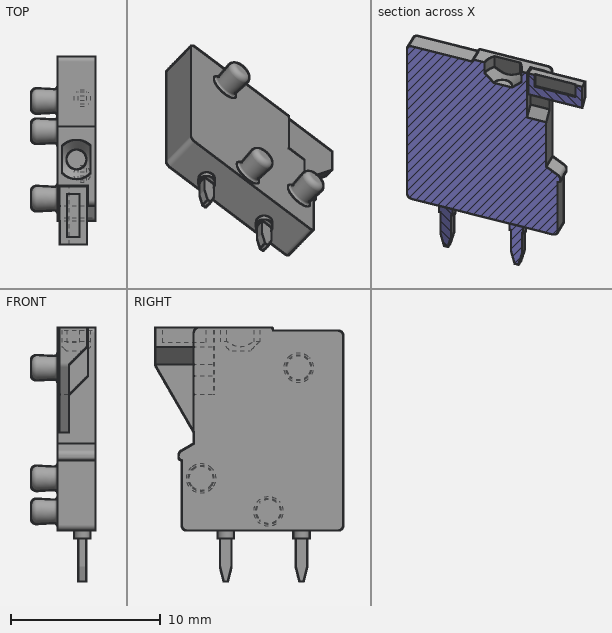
import cadquery as cq
import math


housing_width = 2.57
housing_depth = 10.83
housing_height = 13.6
corner_radius = 0.37
step_drop = 0.2
step_y = 6.12
step_radius = 0.15
upper_front_y = 0.82

lip_reach = 0.2
lip_bottom_z = 4.71
lip_root_z = 5.83
lip_slope = 30.0
lip_radius = 0.4

entry_x = housing_width / 2
entry_y = 3.93
entry_diameter = 2.64
entry_flat_width = 1.9
entry_straight_depth = 0.94
entry_floor_diameter = 1.33
entry_cone_depth = (entry_diameter - entry_floor_diameter) / 2

slot_width = 2.04
slot_back_y = 2.2
slot_floor_z = 9.1

lever_side_x = 0.15
lever_width = 1.84
lever_gap = 0.07
lever_back_y = slot_back_y - lever_gap
lever_front_y = -1.77
blade_width = 0.65
lever_bottom_z = 6.58
lever_nose_angle = 30.0
lever_nose_radius = 0.51
lever_bevel_top_z = 12.29
lever_right_x = lever_side_x + lever_width
blade_right_x = lever_side_x + blade_width

pocket_width = 0.82
pocket_length = 2.89
pocket_x = 1.07
pocket_y = 0.19
pocket_depth = 1.02

peg_positions = [(7.84, 10.9), (1.31, 3.5), (5.81, 1.3)]
peg_length = 1.77
peg_tip_radius = 0.4
peg_max_radius = 0.87
peg_neck_radius = 0.8
peg_flare = 0.19

pin_positions = [8.02, 2.95]
pin_x = 1.67
pin_length = 3.4
pin_collar_diameter = 1.12
pin_collar_height = 0.53
pin_blade_width = 0.8
pin_blade_thickness = 0.55
pin_tip_width = 0.29
pin_taper_length = 1.0


def make_housing_block():
    """Side outline of the housing, with its rounded corners and lip, extruded across the width."""
    rear_height = housing_height - step_drop
    slope = math.radians(lip_slope)
    lip_corner_z = lip_root_z - (upper_front_y + lip_reach) * math.tan(slope)
    lip_tangent = lip_radius * math.tan((math.pi / 2 - slope) / 2)
    return (
        cq.Workplane("YZ")
        .moveTo(corner_radius, 0)
        .lineTo(housing_depth - corner_radius, 0)
        .tangentArcPoint((housing_depth, corner_radius), relative=False)
        .lineTo(housing_depth, rear_height - corner_radius)
        .tangentArcPoint((housing_depth - corner_radius, rear_height), relative=False)
        .lineTo(step_y, rear_height)
        .lineTo(step_y, housing_height - step_radius)
        .tangentArcPoint((step_y - step_radius, housing_height), relative=False)
        .lineTo(upper_front_y + corner_radius, housing_height)
        .tangentArcPoint((upper_front_y, housing_height - corner_radius), relative=False)
        .lineTo(upper_front_y, lip_root_z)
        .lineTo(-lip_reach + lip_tangent * math.cos(slope), lip_corner_z + lip_tangent * math.sin(slope))
        .tangentArcPoint((-lip_reach, lip_corner_z - lip_tangent), relative=False)
        .lineTo(-lip_reach, lip_bottom_z + lip_reach)
        .tangentArcPoint((0, lip_bottom_z), relative=False)
        .lineTo(0, corner_radius)
        .tangentArcPoint((corner_radius, 0), relative=False)
        .close()
        .extrude(housing_width)
    )


def make_wire_entry():
    """Cutter for the wire entry: a bore with a conical bottom, flattened on both X sides."""
    cone_top_z = housing_height - entry_straight_depth
    floor_z = cone_top_z - entry_cone_depth
    funnel = (
        cq.Workplane("XZ")
        .moveTo(0, floor_z)
        .lineTo(entry_floor_diameter / 2, floor_z)
        .lineTo(entry_diameter / 2, cone_top_z)
        .lineTo(entry_diameter / 2, housing_height)
        .lineTo(0, housing_height)
        .close()
        .revolve(360, (0, 0, 0), (0, 1, 0))
    )
    flats = cq.Workplane("XY").box(entry_flat_width, entry_diameter, 2 * housing_height)
    return funnel.intersect(flats).translate((entry_x, entry_y, 0))


def make_lever_slot():
    """Cutter for the lever slot: open at the top, front and peg side, with a 45 degree floor."""
    return (
        cq.Workplane("XZ", origin=(0, slot_back_y, 0))
        .moveTo(0, housing_height)
        .lineTo(0, slot_floor_z)
        .lineTo(blade_right_x, slot_floor_z)
        .lineTo(slot_width, slot_floor_z + slot_width - blade_right_x)
        .lineTo(slot_width, housing_height)
        .close()
        .extrude(slot_back_y - upper_front_y)
    )


def make_housing():
    return make_housing_block().cut(make_wire_entry()).cut(make_lever_slot())


def make_lever():
    """Lever with a slanted front, narrowed by a 45 degree bevel to a thin blade, pocketed on top."""
    nose_rise = (upper_front_y - lever_front_y) / math.tan(math.radians(lever_nose_angle))
    side_shape = (
        cq.Workplane("YZ", origin=(lever_side_x, 0, 0))
        .moveTo(lever_back_y, housing_height)
        .lineTo(lever_back_y, slot_floor_z)
        .lineTo(upper_front_y, slot_floor_z)
        .lineTo(upper_front_y, lever_bottom_z)
        .lineTo(lever_front_y, lever_bottom_z + nose_rise)
        .lineTo(lever_front_y, housing_height)
        .close()
        .extrude(lever_width)
    )
    nose_edge = cq.selectors.NearestToPointSelector(
        (lever_side_x + lever_width / 2, lever_front_y, lever_bottom_z + nose_rise)
    )
    side_shape = side_shape.edges(nose_edge).fillet(lever_nose_radius)
    front_shape = (
        cq.Workplane("XZ", origin=(0, lever_back_y, 0))
        .moveTo(lever_side_x, housing_height)
        .lineTo(lever_side_x, lever_bottom_z)
        .lineTo(blade_right_x, lever_bottom_z)
        .lineTo(blade_right_x, lever_bevel_top_z - (lever_right_x - blade_right_x))
        .lineTo(lever_right_x, lever_bevel_top_z)
        .lineTo(lever_right_x, housing_height)
        .close()
        .extrude(lever_back_y - lever_front_y)
    )
    pocket = (
        cq.Workplane("XY", origin=(pocket_x, pocket_y, housing_height))
        .rect(pocket_width, pocket_length)
        .extrude(-pocket_depth)
    )
    return side_shape.intersect(front_shape).cut(pocket)


def make_peg(y, z):
    """Round peg standing on the side face, with a flared foot, a widening shank and a rounded tip."""
    foot_radius = peg_neck_radius + peg_flare
    diagonal = math.sqrt(0.5)
    flare_middle = (-peg_flare * (1 - diagonal), foot_radius - peg_flare * diagonal)
    tip_start = -peg_length + peg_tip_radius
    tip_middle = (
        tip_start - peg_tip_radius * diagonal,
        peg_max_radius - peg_tip_radius * (1 - diagonal),
    )
    return (
        cq.Workplane("XY")
        .lineTo(0, foot_radius)
        .threePointArc(flare_middle, (-peg_flare, peg_neck_radius))
        .lineTo(tip_start, peg_max_radius)
        .threePointArc(tip_middle, (-peg_length, peg_max_radius - peg_tip_radius))
        .lineTo(-peg_length, 0)
        .close()
        .revolve(360, (0, 0, 0), (1, 0, 0))
        .translate((0, y, z))
    )


def make_pin(y):
    """Solder pin: a flat blade with a tapered tip, hanging from a round collar."""
    collar = (
        cq.Workplane("XY", origin=(pin_x, y, 0))
        .circle(pin_collar_diameter / 2)
        .extrude(-pin_collar_height)
    )
    taper_start_z = -pin_length + pin_taper_length
    blade = (
        cq.Workplane("YZ", origin=(pin_x, y, 0))
        .moveTo(-pin_blade_width / 2, -pin_collar_height)
        .lineTo(-pin_blade_width / 2, taper_start_z)
        .lineTo(-pin_tip_width / 2, -pin_length)
        .lineTo(pin_tip_width / 2, -pin_length)
        .lineTo(pin_blade_width / 2, taper_start_z)
        .lineTo(pin_blade_width / 2, -pin_collar_height)
        .close()
        .extrude(pin_blade_thickness / 2, both=True)
    )
    return collar.union(blade)


housing = make_housing()
lever = make_lever()
pegs = [make_peg(y, z) for y, z in peg_positions]
pins = [make_pin(y) for y in pin_positions]

result = cq.Compound.makeCompound(
    [
        housing.val(),
        lever.val(),
        *[peg.val() for peg in pegs],
        *[pin.val() for pin in pins],
    ]
)